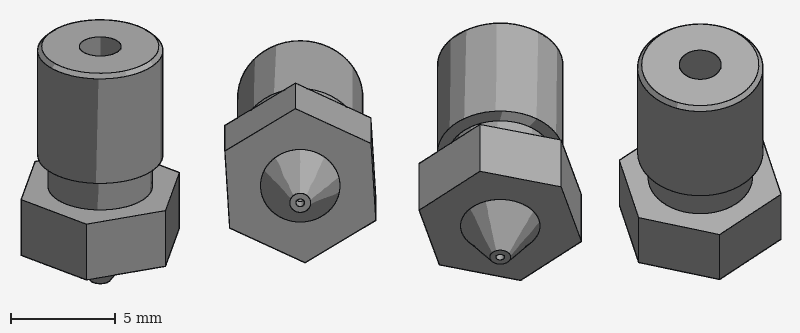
import cadquery as cq
import math

TIP_HEIGHT = 2.0
HEX_HEIGHT = 3.0
NECK_HEIGHT = 1.5
SHANK_HEIGHT = 6.0

HEX_SIDES = 6
HEX_ACROSS_FLATS = 7.0
SHANK_DIAMETER = 6.0
NECK_DIAMETER = 5.0
TIP_END_DIAMETER = 1.0
TIP_HALF_ANGLE = 35.0

TOP_CHAMFER = 0.2
SHOULDER_ANGLE = 20.0

BORE_DIAMETER = 2.0
ORIFICE_DIAMETER = 0.4
ORIFICE_LENGTH = 0.6
BORE_POINT_ANGLE = 118.0

hex_bottom = TIP_HEIGHT
hex_top = hex_bottom + HEX_HEIGHT
neck_top = hex_top + NECK_HEIGHT
shank_top = neck_top + SHANK_HEIGHT


def revolved(profile):
    """Full turn about Z of a closed outline given as (radius, height) points."""
    return cq.Workplane("XZ").polyline(profile).close().revolve(360, (0, 0), (0, 1))


def tip():
    """Cone below the hexagon with a small flat end."""
    end_radius = TIP_END_DIAMETER / 2
    base_radius = end_radius + TIP_HEIGHT * math.tan(math.radians(TIP_HALF_ANGLE))
    profile = [
        (0, 0),
        (end_radius, 0),
        (base_radius, hex_bottom),
        (0, hex_bottom),
    ]
    return revolved(profile)


def hexagon():
    """Wrench hexagon with two corners in line with the X axis."""
    across_corners = HEX_ACROSS_FLATS / math.cos(math.pi / HEX_SIDES)
    return (
        cq.Workplane("XY")
        .workplane(offset=hex_bottom)
        .polygon(HEX_SIDES, across_corners)
        .extrude(HEX_HEIGHT)
    )


def neck_and_shank():
    """Relief neck and plain shank, tapered at the neck and chamfered on top."""
    neck_radius = NECK_DIAMETER / 2
    shank_radius = SHANK_DIAMETER / 2
    shoulder_height = (shank_radius - neck_radius) * math.tan(math.radians(SHOULDER_ANGLE))
    profile = [
        (0, hex_top),
        (neck_radius, hex_top),
        (neck_radius, neck_top),
        (shank_radius, neck_top + shoulder_height),
        (shank_radius, shank_top - TOP_CHAMFER),
        (shank_radius - TOP_CHAMFER, shank_top),
        (0, shank_top),
    ]
    return revolved(profile)


def bore():
    """Through passage: fine orifice, conical transition and wide bore."""
    orifice_radius = ORIFICE_DIAMETER / 2
    bore_radius = BORE_DIAMETER / 2
    half_angle = math.radians(BORE_POINT_ANGLE / 2)
    point_height = (bore_radius - orifice_radius) / math.tan(half_angle)
    profile = [
        (0, 0),
        (orifice_radius, 0),
        (orifice_radius, ORIFICE_LENGTH),
        (bore_radius, ORIFICE_LENGTH + point_height),
        (bore_radius, shank_top),
        (0, shank_top),
    ]
    return revolved(profile)


result = tip().union(hexagon()).union(neck_and_shank()).cut(bore())